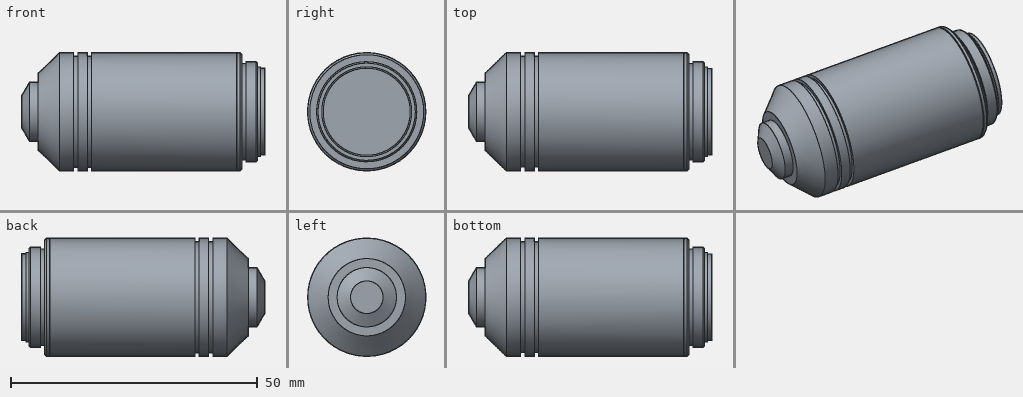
import cadquery as cq

total_length = 49.25

tip_radius = 3.3
nose_radius = 6.0
nose_cone_length = 1.6
nose_length = 3.35

barrel_radius = 24.0 / 2
shoulder_radius = 7.85
shoulder_end = 7.65
barrel_end = 44.65
barrel_chamfer = 0.45

grip_groove_starts = (10.55, 13.3)
grip_groove_width = 0.85
grip_groove_depth = 0.75
seam_groove_start = 43.55
seam_groove_width = 0.1
seam_groove_depth = 0.2

neck_radius = 9.8
neck_end = 45.4
collar_radius = 10.15
collar_end = 47.75
collar_chamfer = 0.3
rear_step_radius = 9.1
rear_step_end = 48.4
rear_end_radius = 8.8


def cylinder(start, end, radius):
    """Solid cylinder along X between two stations."""
    return cq.Workplane("YZ").workplane(offset=start).circle(radius).extrude(end - start)


def cone(start, end, start_radius, end_radius):
    """Solid truncated cone along X between two stations."""
    return (
        cq.Workplane("XY")
        .polyline([(start, 0), (start, start_radius), (end, end_radius), (end, 0)])
        .close()
        .revolve(360, (0, 0, 0), (1, 0, 0))
    )


def groove(start, width, depth):
    """Ring to cut from the outside of the barrel."""
    end = start + width
    return cylinder(start, end, barrel_radius + depth).cut(cylinder(start, end, barrel_radius - depth))


def make_nose():
    tip = cone(0, nose_cone_length, tip_radius, nose_radius)
    return tip.union(cylinder(nose_cone_length, nose_length, nose_radius))


def make_barrel():
    shoulder = cone(nose_length, shoulder_end, shoulder_radius, barrel_radius)
    body = cylinder(shoulder_end, barrel_end, barrel_radius)
    barrel = shoulder.union(body.faces(">X").chamfer(barrel_chamfer))
    for start in grip_groove_starts:
        barrel = barrel.cut(groove(start, grip_groove_width, grip_groove_depth))
    return barrel.cut(groove(seam_groove_start, seam_groove_width, seam_groove_depth))


def make_mount():
    neck = cylinder(barrel_end, neck_end, neck_radius)
    collar = cylinder(neck_end, collar_end, collar_radius).faces(">X").chamfer(collar_chamfer)
    step = cylinder(collar_end, rear_step_end, rear_step_radius)
    rear_end = cylinder(rear_step_end, total_length, rear_end_radius)
    return neck.union(collar).union(step).union(rear_end)


result = make_nose().union(make_barrel()).union(make_mount())